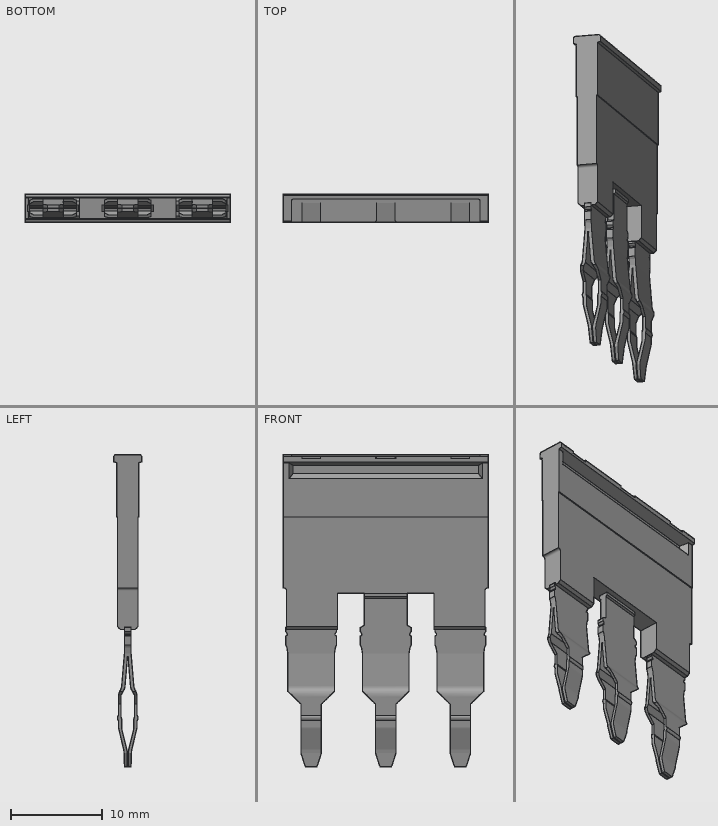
import cadquery as cq
width = 22.4
height = 34.1
half_width = width / 2

cap_thickness = 3.1
cap_top_inset = 0.17
cap_bevel_height = 0.17
cap_edge_z = 33.33
body_top_z = 33.22
upper_thickness = 2.45
lower_thickness = 2.25
thickness_step_z = 27.3
leg_bottom_z = 15.0
leg_bevel = 0.3
shoulder_z = 19.55
shoulder_radius = 0.3
leg_outer_x = 10.85
leg_inner_x = 5.25
notch_top_z = 18.95

recess_half_width = 10.3
recess_depth = 0.17
recess_wall = 0.55
recess_corner_radius = 0.25
pocket_width = 2.0
pocket_depth = 0.25
pocket_wall = 1.0
pocket_flare = 0.15

window_half_width = 10.57
window_bottom_z = 31.5
window_floor_half_width = 10.13
window_floor_bottom_z = 32.03
window_floor_top_z = 32.95
window_depth = 0.92

blade_pitch = 8.15
blade_root_z = 20.45
blade_half_thickness = 0.38
leaf_outer_y = 1.02
leaf_inner_y = 0.65
inner_ledge = 0.07
slit_half_gap = 0.05
slit_top_z = 12.05
tip_z = 1.5
collar_bottom_z = 18.42
collar_bevel = 0.17
collar_half_thickness = 0.55
neck_half_width = 2.35


def box(x_min, x_max, y_min, y_max, z_min, z_max):
    """Axis-aligned box between the given limits."""
    size = (x_max - x_min, y_max - y_min, z_max - z_min)
    return cq.Workplane("XY").box(*size, centered=False).translate((x_min, y_min, z_min))


def mirrored(points):
    """Close a half outline, listed from top to bottom, by mirroring it about the vertical axis."""
    return points + [(-across, z) for across, z in reversed(points)]


def extrude_along_x(points, length):
    """Extrude a closed (Y, Z) outline along X, centred on X = 0."""
    return cq.Workplane("YZ").polyline(points).close().extrude(length / 2, both=True)


def make_housing():
    """Stepped cross-section along X, trimmed to the front outline with its two legs."""
    cross_section = mirrored([
        (cap_thickness / 2 - cap_top_inset, height),
        (cap_thickness / 2, height - cap_bevel_height),
        (cap_thickness / 2, cap_edge_z),
        (upper_thickness / 2, body_top_z),
        (upper_thickness / 2, thickness_step_z),
        (lower_thickness / 2, thickness_step_z),
        (lower_thickness / 2, leg_bottom_z + leg_bevel),
        (lower_thickness / 2 - leg_bevel, leg_bottom_z),
    ])
    housing = extrude_along_x(cross_section, width)

    notch = box(-leg_inner_x, leg_inner_x, -cap_thickness, cap_thickness, 0, notch_top_z)
    housing = housing.cut(notch)

    arc_offset = shoulder_radius * (1 - 0.5 ** 0.5)
    shoulder = (
        cq.Workplane("XZ")
        .moveTo(half_width, shoulder_z)
        .lineTo(leg_outer_x + shoulder_radius, shoulder_z)
        .threePointArc(
            (leg_outer_x + arc_offset, shoulder_z - arc_offset),
            (leg_outer_x, shoulder_z - shoulder_radius),
        )
        .lineTo(leg_outer_x, 0)
        .lineTo(half_width, 0)
        .close()
        .extrude(cap_thickness, both=True)
    )
    return housing.cut(shoulder).cut(shoulder.mirror("YZ"))


def make_label_recess():
    """Shallow recess in the cap's top with three pockets ramping down, all open towards -Y."""
    back_y = cap_thickness / 2
    floor_z = height - recess_depth
    recess = box(
        -recess_half_width, recess_half_width, -back_y, back_y - recess_wall, floor_z, height
    )
    recess = recess.edges("|Z and >Y").fillet(recess_corner_radius)
    ramp = [
        (back_y - pocket_wall, floor_z),
        (-back_y, floor_z - pocket_depth),
        (-back_y, height),
    ]
    pocket = extrude_along_x(ramp, pocket_width)
    for index in (-1, 0, 1):
        recess = recess.union(pocket.translate((index * blade_pitch, 0, 0)))

    half_mouth = pocket_width / 2
    flare = (
        cq.Workplane("XY")
        .workplane(offset=floor_z - pocket_depth)
        .polyline([
            (-half_mouth - pocket_flare, -back_y),
            (half_mouth + pocket_flare, -back_y),
            (half_mouth, -back_y + 2 * pocket_flare),
            (-half_mouth, -back_y + 2 * pocket_flare),
        ])
        .close()
        .extrude(recess_depth + pocket_depth)
    )
    flared_ramp = extrude_along_x(ramp, pocket_width + 2 * pocket_flare).intersect(flare)
    return recess.union(flared_ramp)


def make_window():
    """Blind rectangular window whose four sides slope in towards its floor."""
    floor_height = window_floor_top_z - window_floor_bottom_z
    floor_centre_z = (window_floor_top_z + window_floor_bottom_z) / 2
    mouth_height = body_top_z - window_bottom_z
    mouth_centre_z = (body_top_z + window_bottom_z) / 2
    return (
        cq.Workplane("XZ", origin=(0, window_depth - upper_thickness / 2, 0))
        .center(0, floor_centre_z)
        .rect(2 * window_floor_half_width, floor_height)
        .workplane(offset=window_depth)
        .center(0, mouth_centre_z - floor_centre_z)
        .rect(2 * window_half_width, mouth_height)
        .loft(combine=True)
    )


def make_blade():
    """Contact blade: a flat outline crossed with two sprung leaves that bow apart."""
    outline = mirrored([
        (neck_half_width, blade_root_z),
        (neck_half_width, 15.5),
        (2.8, 15.2),
        (2.8, 14.8),
        (2.63, 14.53),
        (2.63, 14.4),
        (2.8, 14.3),
        (2.8, 13.35),
        (2.65, 13.03),
        (2.55, 12.38),
        (2.55, 8.25),
        (1.13, 6.85),
        (1.13, tip_z),
        (0.7, 0.2),
        (0.6, 0),
    ])
    flat = cq.Workplane("XZ").polyline(outline).close().extrude(cap_thickness, both=True)

    leaf = (
        cq.Workplane("YZ")
        .moveTo(slit_half_gap, slit_top_z)
        .lineTo(slit_half_gap, blade_root_z)
        .lineTo(blade_half_thickness, blade_root_z)
        .lineTo(blade_half_thickness, 12.38)
        .lineTo(0.68, 8.8)
        .threePointArc((0.7, 8.63), (0.82, 8.4))
        .tangentArcPoint((leaf_outer_y, 7.47), relative=False)
        .lineTo(leaf_outer_y, 5.63)
        .threePointArc((1.13, 5.32), (leaf_outer_y, 5.05))
        .lineTo(leaf_outer_y, 4.3)
        .lineTo(1.0, 4.13)
        .lineTo(0.45, 1.85)
        .lineTo(0.4, tip_z)
        .lineTo(blade_half_thickness, 0)
        .lineTo(slit_half_gap, 0)
        .lineTo(slit_half_gap, 1.7)
        .lineTo(leaf_inner_y, 4.15)
        .lineTo(leaf_inner_y, 5.22)
        .lineTo(leaf_inner_y + inner_ledge, 5.42)
        .lineTo(leaf_inner_y + inner_ledge, 7.85)
        .lineTo(0.3, 8.6)
        .lineTo(slit_half_gap, 11.6)
        .close()
        .extrude(width / 2, both=True)
    )
    root = box(
        -half_width, half_width,
        -blade_half_thickness, blade_half_thickness,
        slit_top_z, blade_root_z,
    )
    leaves = root.union(leaf).union(leaf.mirror("XZ"))
    return flat.intersect(leaves)


def make_collar():
    """Bevelled collar under the housing around the middle blade's neck."""
    section = mirrored([
        (collar_half_thickness, blade_root_z),
        (collar_half_thickness, collar_bottom_z + collar_bevel),
        (blade_half_thickness, collar_bottom_z),
    ])
    return extrude_along_x(section, 2 * neck_half_width)


result = make_housing().cut(make_label_recess()).cut(make_window()).union(make_collar())
blade = make_blade()
for blade_index in (-1, 0, 1):
    result = result.union(blade.translate((blade_index * blade_pitch, 0, 0)))